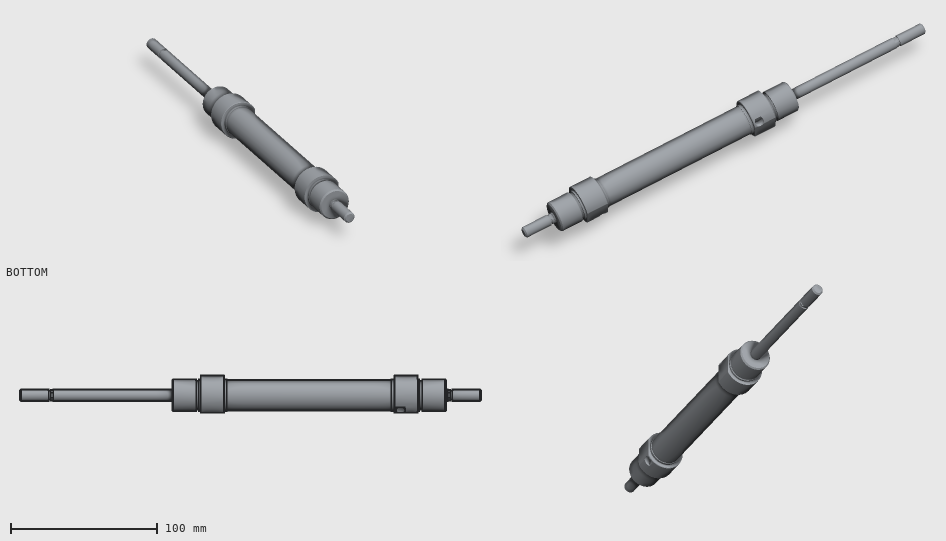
import cadquery as cq


rod_length = 315.0
rod_diameter = 8.0
thread_length = 20.0
thread_chamfer = 1.0
relief_width = 1.3
relief_diameter = 6.3
wrench_neck_length = 2.0
wrench_neck_diameter = 7.2
wrench_flat_width = 6.3

cover_start = 104.0
cover_span = 187.0
cover_thread_diameter = 22.0
cover_thread_length = 16.5
cover_chamfer = 1.0
cover_groove_width = 2.0
cover_groove_diameter = 20.0
shoulder_width = 1.3
collar_width = 16.0
collar_diameter = 27.0
collar_chamfer = 0.3
collar_flat_y = 12.0
neck_width = 2.0

recess_diameter = 6.3
recess_depth = 3.8
recess_height = 8.5
recess_from_neck = 4.5

barrel_diameter = 21.0

wrench_neck_start = thread_length + relief_width
cover_middle = cover_start + cover_span / 2
collar_start = cover_thread_length + cover_groove_width + shoulder_width
collar_end = collar_start + collar_width
cover_length = collar_end + neck_width
barrel_start = cover_start + cover_length
barrel_length = cover_span - 2 * cover_length


def cylinder_along_x(start, length, diameter):
    return cq.Workplane("YZ", origin=(start, 0, 0)).circle(diameter / 2).extrude(length)


def outside_of(core, start, length):
    """Everything between the core and a cylinder wider than the rod, over one stretch of X."""
    return cylinder_along_x(start, length, 2 * rod_diameter).cut(core)


def end_relief():
    """Material to remove behind the thread that starts at X = 0: a groove, then a neck with flats."""
    groove_core = cylinder_along_x(thread_length, relief_width, relief_diameter)
    flats = cq.Workplane("XY", origin=(wrench_neck_start, 0, 0)).box(
        wrench_neck_length, wrench_neck_diameter, wrench_flat_width, centered=(False, True, True)
    )
    neck_core = cylinder_along_x(wrench_neck_start, wrench_neck_length, wrench_neck_diameter)
    neck_core = neck_core.intersect(flats)
    groove = outside_of(groove_core, thread_length, relief_width)
    return groove.union(outside_of(neck_core, wrench_neck_start, wrench_neck_length))


def make_rod():
    rod = cylinder_along_x(0, rod_length, rod_diameter).faces("<X or >X").chamfer(thread_chamfer)
    left_relief = end_relief()
    right_relief = left_relief.mirror("YZ", (rod_length / 2, 0, 0))
    return rod.cut(left_relief).cut(right_relief)


def make_collar():
    collar = cylinder_along_x(collar_start, collar_width, collar_diameter)
    collar = collar.faces(">X").chamfer(collar_chamfer)
    beyond_flat = cq.Workplane("XY").box(
        collar_end, collar_diameter, collar_diameter, centered=(False, False, True)
    ).translate((collar_start, collar_flat_y, 0))
    return collar.cut(beyond_flat)


def make_recess():
    """Round hole along Y, sunk into the collar flat above the rod axis."""
    centre = (collar_end - recess_from_neck, collar_flat_y, recess_height)
    return cq.Workplane("XZ", origin=centre).circle(recess_diameter / 2).extrude(recess_depth)


def make_cover():
    """Cover with its outer face at X = 0 and its neck toward +X."""
    threaded_end = cylinder_along_x(0, cover_thread_length, cover_thread_diameter)
    threaded_end = threaded_end.faces("<X").chamfer(cover_chamfer)
    core = cylinder_along_x(0, cover_length, cover_groove_diameter).faces("<X").chamfer(cover_chamfer)
    shoulder_start = cover_thread_length + cover_groove_width
    shoulder = cylinder_along_x(shoulder_start, shoulder_width, cover_thread_diameter)
    neck = cylinder_along_x(collar_end, neck_width, cover_thread_diameter)
    cover = threaded_end.union(core).union(shoulder).union(make_collar()).union(neck)
    rod_bore = cylinder_along_x(0, cover_length, rod_diameter)
    return cover.cut(make_recess()).cut(rod_bore)


def make_barrel():
    barrel = cylinder_along_x(barrel_start, barrel_length, barrel_diameter)
    return barrel.cut(cylinder_along_x(barrel_start, barrel_length, rod_diameter))


rod = make_rod()
barrel = make_barrel()

half_turn = 180
covers = [
    make_cover()
    .translate((cover_start, 0, 0))
    .rotate((cover_middle, 0, 0), (cover_middle, 1, 0), angle)
    for angle in (0, half_turn)
]

result = cq.Compound.makeCompound([rod.val(), barrel.val(), *[cover.val() for cover in covers]])